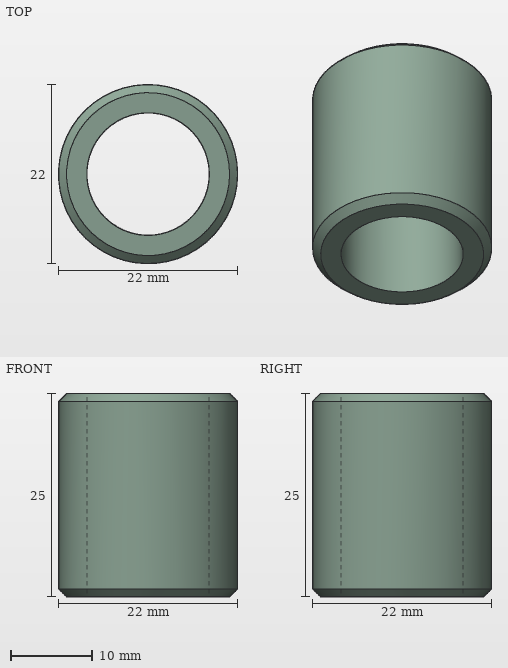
import cadquery as cq

length = 25.0
outer_diameter = 22.0
bore_diameter = 15.0
chamfer = 1.0

body = (
    cq.Workplane("XY")
    .circle(outer_diameter / 2)
    .extrude(length)
    .faces("<Z or >Z")
    .edges()
    .chamfer(chamfer)
)

bore = cq.Workplane("XY").circle(bore_diameter / 2).extrude(length)

result = body.cut(bore)